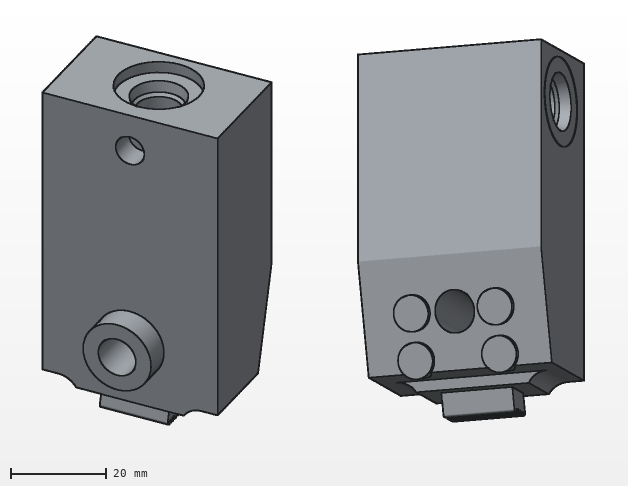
import cadquery as cq
import math

HEIGHT = 75.4
WIDTH = 41.25
DEPTH = 25.35
SLOPE_ANGLE = 15.0
SLOPE_START_Z = 30.8
BOTTOM_Z = 7.1

STEP_BOTTOM_Z = 4.8
STEP_FLAT_WIDTH = 25.35
STEP_ROUND_RADIUS = 5.0
STEP_BACK_Y = 12.4

TONGUE_WIDTH = 16.0
TONGUE_FRONT_Y = 2.8
TONGUE_THICKNESS = 6.5
TONGUE_FRONT_RADIUS = 0.8
TONGUE_BACK_RADIUS = 0.4
GROOVE_WIDTH = 0.7
GROOVE_DEPTH = 0.75
GROOVE_PITCH = 1.6
GROOVE_COUNT = 3
FIRST_GROOVE_Y = 3.0

BOSS_DIAMETER = 16.0
BOSS_LENGTH = 6.0
BOSS_Z = 19.1
THROUGH_HOLE_DIAMETER = 8.8

PIN_HOLE_DIAMETER = 6.7
PIN_HOLE_Z = 66.75
PIN_HOLE_DEPTH = 6.0

PORT_Y = 13.5
SIDE_PORT_Z = 64.4
SPOTFACE_DIAMETER = 19.1
TOP_SPOTFACE_DEPTH = 2.65
SIDE_SPOTFACE_DEPTH = 0.15
SEAL_TOP_DIAMETER = 12.45
SEAL_BOTTOM_DIAMETER = 11.5
SEAL_DEPTH = 2.5
BORE_DIAMETER = 10.0
BORE_DEPTH = 7.55

STUD_DIAMETER = 7.8
STUD_HEIGHT = 1.1
STUD_EMBEDDED_LENGTH = 6.0
STUD_X = 9.4
FIRST_STUD_ALONG_SLOPE = 11.8
STUD_PITCH = 10.0

SLOPE = math.radians(SLOPE_ANGLE)


def block():
    slope_end_y = DEPTH - (SLOPE_START_Z - BOTTOM_Z) * math.tan(SLOPE)
    profile = [
        (0, BOTTOM_Z),
        (0, HEIGHT),
        (DEPTH, HEIGHT),
        (DEPTH, SLOPE_START_Z),
        (slope_end_y, BOTTOM_Z),
    ]
    return cq.Workplane("YZ").polyline(profile).close().extrude(WIDTH / 2, both=True)


def step():
    drop = BOTTOM_Z - STEP_BOTTOM_Z
    flat = STEP_FLAT_WIDTH / 2
    centre_z = BOTTOM_Z - STEP_ROUND_RADIUS
    round_width = math.sqrt(STEP_ROUND_RADIUS**2 - (STEP_ROUND_RADIUS - drop) ** 2)
    outer = flat + round_width
    half_sweep = math.acos((STEP_ROUND_RADIUS - drop) / STEP_ROUND_RADIUS) / 2
    mid_x = outer - STEP_ROUND_RADIUS * math.sin(half_sweep)
    mid_z = centre_z + STEP_ROUND_RADIUS * math.cos(half_sweep)
    overlap_z = BOTTOM_Z + drop
    body = (
        cq.Workplane("XZ")
        .moveTo(-flat, STEP_BOTTOM_Z)
        .lineTo(flat, STEP_BOTTOM_Z)
        .threePointArc((mid_x, mid_z), (outer, BOTTOM_Z))
        .lineTo(outer, overlap_z)
        .lineTo(-outer, overlap_z)
        .lineTo(-outer, BOTTOM_Z)
        .threePointArc((-mid_x, mid_z), (-flat, STEP_BOTTOM_Z))
        .close()
        .extrude(-DEPTH / 2)
    )
    lean = math.tan(SLOPE)
    side = [
        (0, STEP_BOTTOM_Z),
        (0, overlap_z),
        (STEP_BACK_Y + drop * lean, overlap_z),
        (STEP_BACK_Y - drop * lean, STEP_BOTTOM_Z),
    ]
    return body.intersect(cq.Workplane("YZ").polyline(side).close().extrude(WIDTH / 2, both=True))


def tongue():
    lean = math.tan(SLOPE)
    tip_front_y = TONGUE_FRONT_Y - STEP_BOTTOM_Z * lean
    top_z = BOTTOM_Z
    top_front_y = tip_front_y + top_z * lean
    profile = [
        (tip_front_y, 0),
        (top_front_y, top_z),
        (top_front_y + TONGUE_THICKNESS, top_z),
        (tip_front_y + TONGUE_THICKNESS, 0),
    ]
    body = cq.Workplane("YZ").polyline(profile).close().extrude(TONGUE_WIDTH / 2, both=True)
    body = body.edges("|X").edges("<Z").edges("<Y").fillet(TONGUE_FRONT_RADIUS)
    body = body.edges("|X").edges("<Z").edges(">Y").fillet(TONGUE_BACK_RADIUS)
    for index in range(GROOVE_COUNT):
        groove = cq.Workplane("XY").box(TONGUE_WIDTH, GROOVE_WIDTH, 2 * GROOVE_DEPTH)
        body = body.cut(groove.translate((0, FIRST_GROOVE_Y + index * GROOVE_PITCH, 0)))
    return body


def studs():
    """Studs in two columns, square to the sloped face."""
    down_slope = cq.Vector(0, -math.sin(SLOPE), -math.cos(SLOPE))
    outward = cq.Vector(0, math.cos(SLOPE), -math.sin(SLOPE))
    slope_top = cq.Vector(0, DEPTH, SLOPE_START_Z)
    inner_end = slope_top - outward * STUD_EMBEDDED_LENGTH
    length = STUD_EMBEDDED_LENGTH + STUD_HEIGHT
    solids = cq.Workplane("XY")
    for along in (FIRST_STUD_ALONG_SLOPE, FIRST_STUD_ALONG_SLOPE + STUD_PITCH):
        for x in (-STUD_X, STUD_X):
            base = inner_end + down_slope * along + cq.Vector(x, 0, 0)
            solids = solids.add(cq.Solid.makeCylinder(STUD_DIAMETER / 2, length, base, outward))
    return solids.combine()


def port(spotface_depth):
    """Cutter for a port, opening at the origin and running down -Z."""
    seal_end = spotface_depth + SEAL_DEPTH
    shoulder_end = seal_end + (SEAL_BOTTOM_DIAMETER - BORE_DIAMETER) / 2
    bore_end = shoulder_end + BORE_DEPTH
    half_profile = [
        (0, 0),
        (SPOTFACE_DIAMETER / 2, 0),
        (SPOTFACE_DIAMETER / 2, -spotface_depth),
        (SEAL_TOP_DIAMETER / 2, -spotface_depth),
        (SEAL_BOTTOM_DIAMETER / 2, -seal_end),
        (BORE_DIAMETER / 2, -shoulder_end),
        (BORE_DIAMETER / 2, -bore_end),
        (0, -bore_end),
    ]
    return cq.Workplane("XZ").polyline(half_profile).close().revolve(360, (0, 0), (0, 1))


def front_cylinder(diameter, z, start_y, end_y):
    """Cylinder along Y, centred on x = 0."""
    start = cq.Vector(0, start_y, z)
    return cq.Solid.makeCylinder(diameter / 2, end_y - start_y, start, cq.Vector(0, 1, 0))


top_port = port(TOP_SPOTFACE_DEPTH).translate((0, PORT_Y, HEIGHT))
side_port = (
    port(SIDE_SPOTFACE_DEPTH)
    .rotate((0, 0, 0), (0, 1, 0), -90)
    .translate((-WIDTH / 2, PORT_Y, SIDE_PORT_Z))
)

result = (
    block()
    .union(step())
    .union(tongue())
    .union(studs())
    .union(front_cylinder(BOSS_DIAMETER, BOSS_Z, -BOSS_LENGTH, DEPTH / 2))
    .cut(front_cylinder(THROUGH_HOLE_DIAMETER, BOSS_Z, -BOSS_LENGTH, DEPTH))
    .cut(front_cylinder(PIN_HOLE_DIAMETER, PIN_HOLE_Z, 0, PIN_HOLE_DEPTH))
    .cut(top_port)
    .cut(side_port)
)